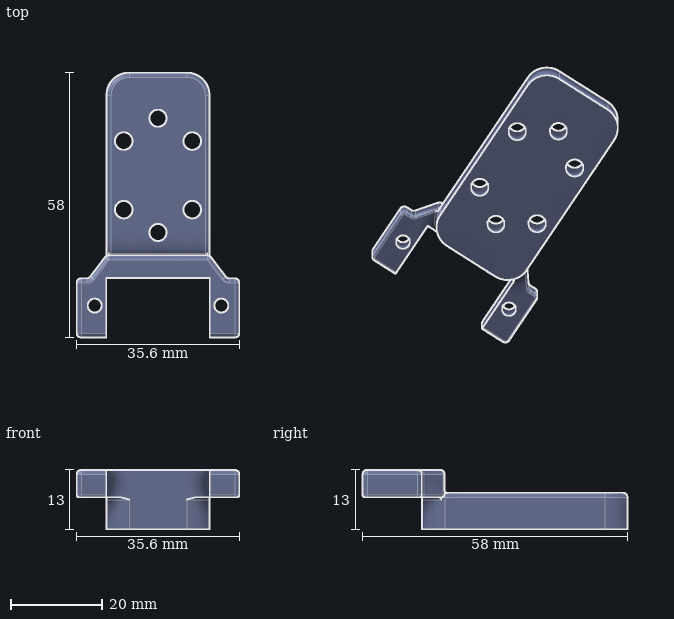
import cadquery as cq
import math

plate_width = 22.6
plate_length = 45.0
plate_height = 8.0
plate_corner_radius = 5.0

bracket_width = 35.6
bracket_length = 18.0
bracket_bottom = 7.0
bracket_top = 13.0
arm_length = 13.0
shoulder_half_width = 15.1

edge_radius = 1.0
underside_radius = 0.5
joint_radius = 0.5

plate_hole_diameter = 3.8
end_hole_diameter = 3.7
arm_hole_diameter = 3.0
corner_hole_offset = 7.5
end_hole_offset = 12.5
arm_hole_x = 13.85
arm_hole_y = 7.0

plate_center_y = arm_length + plate_length / 2
plate_half_width = plate_width / 2
bracket_half_width = bracket_width / 2
corner_center_x = plate_half_width - plate_corner_radius
corner_center_y = arm_length + plate_corner_radius
rim_center_x = plate_half_width - edge_radius
rim_center_z = plate_height - edge_radius
margin = 1.0

shoulder_angle = math.atan2(bracket_length - arm_length, shoulder_half_width - plate_half_width)
back_wall_half_width = plate_half_width - edge_radius * math.tan(shoulder_angle / 2)

joint_arc_inset = joint_radius * (1 - math.sqrt(0.5))


def make_plate():
    """Rectangular plate with round corners and a rounded top rim."""
    plate = cq.Workplane("XY").center(0, plate_center_y).rect(plate_width, plate_length)
    plate = plate.extrude(plate_height)
    plate = plate.edges("|Z").fillet(plate_corner_radius)
    return plate.faces(">Z").edges().fillet(edge_radius)


def make_bracket_body():
    """Bracket with sloping shoulders, rounded all around, before the notch is cut."""
    outline = [
        (-bracket_half_width, 0),
        (bracket_half_width, 0),
        (bracket_half_width, arm_length),
        (shoulder_half_width, arm_length),
        (plate_half_width, bracket_length),
        (-plate_half_width, bracket_length),
        (-shoulder_half_width, arm_length),
        (-bracket_half_width, arm_length),
    ]
    body = cq.Workplane("XY").workplane(offset=bracket_bottom).polyline(outline).close()
    body = body.extrude(bracket_top - bracket_bottom)
    body = body.edges("|Z").fillet(edge_radius)
    body = body.faces(">Z").edges().fillet(edge_radius)
    return body.faces("<Z").edges().fillet(underside_radius)


def make_back_joint():
    """Concave fillet where the plate's top and rounded rim run into the bracket's back wall."""
    foot = bracket_length + joint_radius
    straight = (
        cq.Workplane("YZ")
        .moveTo(bracket_length, rim_center_z)
        .lineTo(foot, rim_center_z)
        .lineTo(foot, plate_height)
        .threePointArc(
            (bracket_length + joint_arc_inset, plate_height + joint_arc_inset),
            (bracket_length, plate_height + joint_radius),
        )
        .close()
        .extrude(rim_center_x, both=True)
    )
    rim_turn = (
        cq.Workplane("XY")
        .moveTo(0, bracket_length)
        .lineTo(0, foot)
        .lineTo(edge_radius, foot)
        .threePointArc(
            (edge_radius + joint_arc_inset, bracket_length + joint_arc_inset),
            (edge_radius + joint_radius, bracket_length),
        )
        .close()
        .revolve(axisStart=(0, 0), axisEnd=(0, 1))
    )
    joint = straight
    for side in (-1, 1):
        joint = joint.union(rim_turn.translate((side * rim_center_x, 0, rim_center_z)))
    keep = cq.Workplane("XY").box(
        2 * back_wall_half_width, bracket_length + margin, bracket_top, centered=(True, False, False)
    )
    return joint.intersect(keep.translate((0, 0, bracket_bottom)))


def make_underside_joint(body):
    """Concave fillets around the plate's round corners, under the flat underside of the bracket."""
    flare_foot = bracket_bottom - joint_radius
    flare = (
        cq.Workplane("XZ")
        .moveTo(0, flare_foot)
        .lineTo(plate_corner_radius, flare_foot)
        .threePointArc(
            (plate_corner_radius + joint_arc_inset, bracket_bottom - joint_arc_inset),
            (plate_corner_radius + joint_radius, bracket_bottom),
        )
        .lineTo(0, bracket_bottom)
        .close()
        .revolve(axisStart=(0, 0), axisEnd=(0, 1))
    )
    flares = flare.translate((-corner_center_x, corner_center_y, 0)).union(
        flare.translate((corner_center_x, corner_center_y, 0))
    )
    below_underside = body.faces("<Z").wires().toPending().extrude(-bracket_bottom, combine=False)
    return flares.intersect(below_underside)


def make_notch():
    """Gap between the two arms."""
    notch = cq.Workplane("XY").box(
        plate_width, arm_length + margin, bracket_top + margin, centered=(True, False, False)
    )
    return notch.translate((0, -margin, 0))


def drill(part, points, diameter):
    """Cut vertical through holes at the given points."""
    holes = cq.Workplane("XY").pushPoints(points).circle(diameter / 2).extrude(bracket_top)
    return part.cut(holes)


bracket_body = make_bracket_body()
result = make_plate().union(bracket_body)
result = result.union(make_back_joint())
result = result.union(make_underside_joint(bracket_body))
result = result.cut(make_notch())

corner_holes = [
    (x, plate_center_y + y)
    for x in (-corner_hole_offset, corner_hole_offset)
    for y in (-corner_hole_offset, corner_hole_offset)
]
end_holes = [(0, plate_center_y + y) for y in (-end_hole_offset, end_hole_offset)]
arm_holes = [(x, arm_hole_y) for x in (-arm_hole_x, arm_hole_x)]

result = drill(result, corner_holes, plate_hole_diameter)
result = drill(result, end_holes, end_hole_diameter)
result = drill(result, arm_holes, arm_hole_diameter)